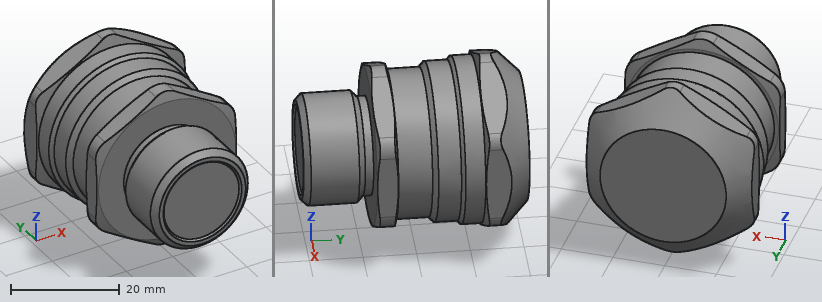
import cadquery as cq
import math

total_length = 41.75
neck_start = 11.45
lock_hex_start = 13.0
lock_hex_end = 17.0
collar_start = 23.45
skirt_start = 28.7
cap_hex_start = 33.12

spigot_radius = 20.95 / 2
neck_radius = 18.55 / 2
body_radius = 28 / 2
collar_radius = 30.0 / 2
skirt_radius = 31.4 / 2
spigot_chamfer = spigot_radius - neck_radius
collar_chamfer = collar_radius - body_radius
skirt_chamfer = skirt_radius - collar_radius

lock_hex_flats = 30.0
lock_corner_radius = 4.0
lock_face_radius = 14.75
lock_chamfer_depth = 0.63

cap_hex_flats = 32.0
cap_corner_radius = 3.1
cap_base_chamfer_depth = 0.7
cap_top_radius = 12.2

recess_mouth_radius = 8.45
recess_floor_radius = 8.05
recess_depth = recess_mouth_radius - recess_floor_radius


def revolve_profile(points):
    """Revolve a closed (radius, y) outline around the Y axis."""
    return cq.Workplane("XY").polyline(points).close().revolve(360, (0, 0, 0), (0, 1, 0))


def rounded_hexagon(flats, corner_radius, start, end):
    """Hexagonal prism along Y with corners on +Z and -Z and rounded long edges."""
    corner_distance = flats / 2 / math.cos(math.pi / 6)
    corners = []
    for index in range(6):
        angle = math.pi / 2 + index * math.pi / 3
        corners.append((corner_distance * math.cos(angle), corner_distance * math.sin(angle)))
    prism = cq.Workplane("XZ", origin=(0, start, 0)).polyline(corners).close().extrude(start - end)
    return prism.edges("|Y").fillet(corner_radius)


def corner_reach(flats, corner_radius):
    """Distance from the axis to the crest of a rounded hexagon corner."""
    return corner_radius + (flats / 2 - corner_radius) / math.cos(math.pi / 6)


def make_turned_body():
    """Spigot, neck, body, collar and skirt, with a core running through the cap."""
    return revolve_profile([
        (0, 0),
        (neck_radius, 0),
        (spigot_radius, spigot_chamfer),
        (spigot_radius, neck_start - spigot_chamfer),
        (neck_radius, neck_start),
        (neck_radius, lock_hex_start),
        (body_radius, lock_hex_start),
        (body_radius, collar_start),
        (collar_radius, collar_start + collar_chamfer),
        (collar_radius, skirt_start),
        (skirt_radius, skirt_start + skirt_chamfer),
        (skirt_radius, cap_hex_start),
        (cap_top_radius, cap_hex_start),
        (cap_top_radius, total_length),
        (0, total_length),
    ])


def make_lock_hex():
    """Hexagon with conical chamfers on both faces."""
    reach = corner_reach(lock_hex_flats, lock_corner_radius)
    envelope = revolve_profile([
        (0, lock_hex_start),
        (lock_face_radius, lock_hex_start),
        (reach, lock_hex_start + lock_chamfer_depth),
        (reach, lock_hex_end - lock_chamfer_depth),
        (lock_face_radius, lock_hex_end),
        (0, lock_hex_end),
    ])
    prism = rounded_hexagon(lock_hex_flats, lock_corner_radius, lock_hex_start, lock_hex_end)
    return prism.intersect(envelope)


def make_cap():
    """Hexagonal cap with a slight chamfer below and a 45 degree cone above."""
    reach = corner_reach(cap_hex_flats, cap_corner_radius)
    envelope = revolve_profile([
        (0, cap_hex_start),
        (skirt_radius, cap_hex_start),
        (reach, cap_hex_start + cap_base_chamfer_depth),
        (reach, total_length - (reach - cap_top_radius)),
        (cap_top_radius, total_length),
        (0, total_length),
    ])
    prism = rounded_hexagon(cap_hex_flats, cap_corner_radius, cap_hex_start, total_length)
    return prism.intersect(envelope)


def make_recess():
    """Tapered recess that opens at the spigot tip."""
    return revolve_profile([
        (0, 0),
        (recess_mouth_radius, 0),
        (recess_floor_radius, recess_depth),
        (0, recess_depth),
    ])


result = make_turned_body().union(make_lock_hex()).union(make_cap()).cut(make_recess())